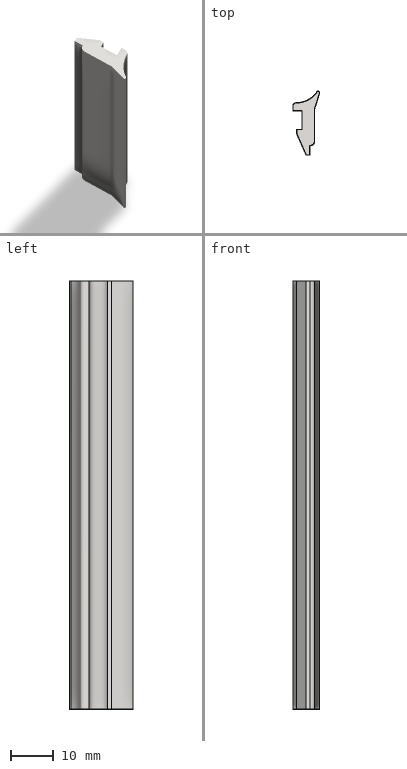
import cadquery as cq
import math

length = 100.0
width = 6.3
depth = 14.9

web_left = 2.1
web_right = 5.1
web_front = 2.2
web_corner_radius = 1.0

tip_left = 3.1
tip_right = 4.0
catch_left = 0.9
catch_side_front = 5.0
catch_back = 6.0

hook_front = 10.3
hook_back = 12.2
hook_corner_radius = 0.8

fin_root = 10.7
fin_curve_middle = (3.6, 12.9)
fin_end_radius = 0.4


def rounded_corner_middle(center_x, center_y, radius, x_side, y_side):
    """Midpoint of a quarter-circle corner facing the given sides."""
    offset = radius * math.sqrt(0.5)
    return (center_x + x_side * offset, center_y + y_side * offset)


fin_end_x = width - fin_end_radius
fin_end_y = depth - fin_end_radius
web_corner_x = web_right - web_corner_radius
web_corner_y = web_front + web_corner_radius
hook_corner_y = hook_back - hook_corner_radius

profile = (
    cq.Workplane("XY")
    .moveTo(tip_left, 0)
    .lineTo(tip_right, 0)
    .lineTo(tip_right, web_front)
    .lineTo(web_corner_x, web_front)
    .threePointArc(
        rounded_corner_middle(web_corner_x, web_corner_y, web_corner_radius, 1, -1),
        (web_right, web_corner_y),
    )
    .lineTo(web_right, fin_root)
    .lineTo(width, fin_end_y)
    .threePointArc((fin_end_x, depth), (fin_end_x - fin_end_radius, fin_end_y))
    .threePointArc(fin_curve_middle, (hook_corner_radius, hook_back))
    .threePointArc(
        rounded_corner_middle(hook_corner_radius, hook_corner_y, hook_corner_radius, -1, 1),
        (0, hook_corner_y),
    )
    .lineTo(0, hook_front)
    .lineTo(web_left, hook_front)
    .lineTo(web_left, catch_back)
    .lineTo(catch_left, catch_back)
    .lineTo(catch_left, catch_side_front)
    .close()
)

result = profile.extrude(length)